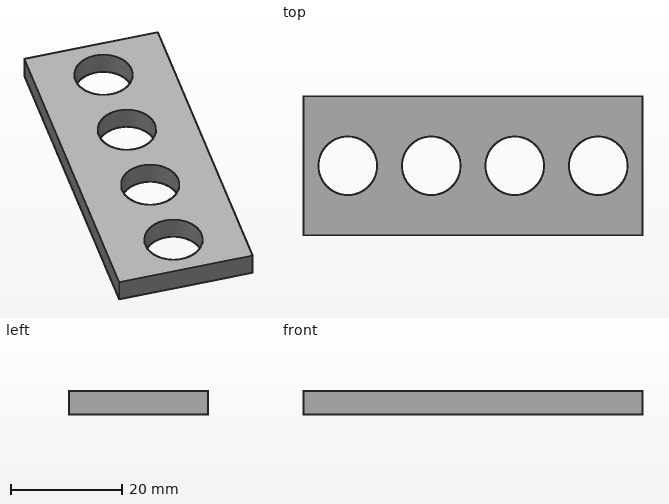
import cadquery as cq

length = 61.0
width = 25.0
thickness = 4.3

hole_count = 4
hole_diameter = 10.5
hole_pitch = 15.0

plate = cq.Workplane("XY").box(length, width, thickness)

result = (
    plate.faces(">Z")
    .workplane()
    .rarray(hole_pitch, 0.6, hole_count, 1)
    .hole(hole_diameter)
)